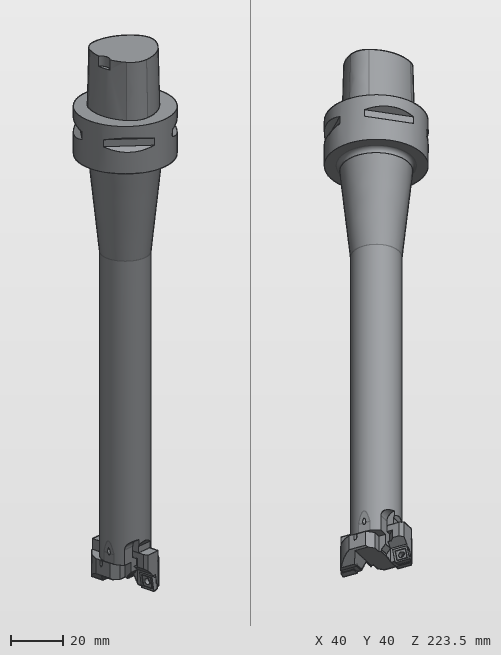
import cadquery as cq
import math

TOOL_LENGTH = 223.5
SIDE_ANGLES = (0, 180)

SHANK_DIAMETER = 20.0
SHANK_RADIUS = SHANK_DIAMETER / 2
FLANGE_DIAMETER = 40.0
FLANGE_RADIUS = FLANGE_DIAMETER / 2
FLANGE_HEIGHT = 20.0
COUPLING_HEIGHT = 24.1
CONE_BOTTOM_Z = 138.5
CONE_TOP_RADIUS = 14.0
NECK_FLARE = 1.3
NECK_HEIGHT = 2.5
NECK_HOLLOW = 0.5
FLANGE_TOP_Z = TOOL_LENGTH - COUPLING_HEIGHT
FLANGE_BOTTOM_Z = FLANGE_TOP_Z - FLANGE_HEIGHT
CONE_TOP_Z = FLANGE_BOTTOM_Z - NECK_HEIGHT

COUPLING_WIDTH = 28.0
LOBE_RADIUS = 8.7
LOBE_CENTRE_DISTANCE = 6.0
COUPLING_SLOPE = 1 / 40
LOBE_ANGLES = (90, -30, -150)
LOBE_SPACING = 120
LOBE_ARC_HALF_ANGLE = 30

KEY_SLOT_RADIUS = 3.5
KEY_SLOT_CENTRE_Y = -14.5
KEY_SLOT_HEIGHT = 4.2

GROOVE_ANGLES = (45, 135, 225, 315)
GROOVE_Z = FLANGE_BOTTOM_Z + 12.0
GROOVE_FLOOR_DISTANCE = 17.5
GROOVE_FLOOR_HEIGHT = 3.0
GROOVE_MOUTH_HEIGHT = 6.0

HEAD_TOP_Z = 11.2
HEAD_BOTTOM_Z = 0.7
HEAD_HALF_DEPTH = 9.8
JAW_REACH = 13.5
JAW_ARC_MIDDLE = (10.3, 7.5)
JAW_ARC_END_X = 6.5
FACET_START_X = 0.7
FACET_SIZE = 2.7
BEVEL_TOP_Z = 5.0
BEVEL_BOTTOM_Y = 5.5
GAP_TOP_Z = 4.2
GAP_TOP_HALF_WIDTH = 4.2
GAP_BOTTOM_HALF_WIDTH = 7.0

CARTRIDGE_INNER_X = 6.3
CARTRIDGE_FRONT_Y = -3.0
CARTRIDGE_BACK_Y = 3.8
CARTRIDGE_TOP_Z = 15.6
SLOPE_TOP_Z = 9.6
SLOPE_BOTTOM_Z = 7.0
EDGE_CHAMFER_X = 1.8
EDGE_CHAMFER_Y = 0.7
RELIEF_WIDTH = 2.5
RELIEF_DEPTH = 2.2
RELIEF_BOTTOM_Z = 9.0
RELIEF_TOP_Z = 13.0

FLAT_X = 9.2
FLAT_TOP_Z = 18.3
FLAT_RUNOUT_HEIGHT = 1.8

GULLET_RUNOUT_RADIUS = 3.5
GULLET_RUNOUT_Z = 17.7
RECESS_Y = -4.0
THROAT_X = 4.5
THROAT_Z = 5.0

INSERT_EDGE = 6.3
INSERT_CORNER_ANGLE = 80
INSERT_CORNER_X = 14.5
INSERT_THICKNESS = 2.5
INSERT_HOLE_DIAMETER = 2.5
INSERT_CLEARANCE_ANGLE = 7
CHIP_GROOVE_LAND = 1.0
CHIP_GROOVE_DEPTH = 0.34

COOLANT_FLAT_Y = -9.6
COOLANT_FLAT_TOP_Z = 15.2
COOLANT_RUNOUT_HEIGHT = 5.1
COOLANT_HOLE_DIAMETER = 1.3
COOLANT_HOLE_DEPTH = 4.5
COOLANT_HOLE_OVERRUN = 2.2
COOLANT_TILT = 62
COOLANT_HOLE_Z = 15.9
LOWER_OUTLET_X = -3.8
LOWER_OUTLET_Z = 10.0

RIGHT_ANGLE = 90
CLEAR = 22.4


def prism_along_y(points, y_from, y_to):
    """Extrude an outline of (x, z) points between two y positions."""
    return cq.Workplane("XZ", origin=(0, y_from, 0)).polyline(points).close().extrude(y_from - y_to)


def turned(shape, angle):
    return shape.rotate((0, 0, 0), (0, 0, 1), angle)


def polar(distance, angle):
    return distance * math.cos(math.radians(angle)), distance * math.sin(math.radians(angle))



def turned_shank():
    cone_joint = (CONE_TOP_RADIUS, CONE_TOP_Z)
    flare_end = (CONE_TOP_RADIUS + NECK_FLARE, FLANGE_BOTTOM_Z)
    flare_middle = (
        CONE_TOP_RADIUS + NECK_FLARE / 2 - NECK_HOLLOW,
        CONE_TOP_Z + NECK_HEIGHT / 2 + NECK_HOLLOW,
    )
    return (
        cq.Workplane("XZ")
        .moveTo(0, HEAD_TOP_Z)
        .lineTo(SHANK_RADIUS, HEAD_TOP_Z)
        .lineTo(SHANK_RADIUS, CONE_BOTTOM_Z)
        .lineTo(*cone_joint)
        .threePointArc(flare_middle, flare_end)
        .lineTo(FLANGE_RADIUS, FLANGE_BOTTOM_Z)
        .lineTo(FLANGE_RADIUS, FLANGE_TOP_Z)
        .lineTo(0, FLANGE_TOP_Z)
        .close()
        .revolve(360, (0, 0, 0), (0, 1, 0))
    )


def gripper_groove(angle):
    """Straight groove across the flange with flared sides."""
    floor_half = GROOVE_FLOOR_HEIGHT / 2
    mouth_half = GROOVE_MOUTH_HEIGHT / 2
    outline = [
        (GROOVE_FLOOR_DISTANCE, GROOVE_Z - floor_half),
        (FLANGE_RADIUS, GROOVE_Z - mouth_half),
        (FLANGE_RADIUS, GROOVE_Z + mouth_half),
        (GROOVE_FLOOR_DISTANCE, GROOVE_Z + floor_half),
    ]
    return turned(prism_along_y(outline, -CLEAR, CLEAR), angle)



def coupling_outline(workplane, inset):
    """Close a three-lobed outline of six tangent arcs, moved inward by the inset."""
    lobe_radius = LOBE_RADIUS - inset
    side_radius = COUPLING_WIDTH - LOBE_RADIUS - inset

    def on_lobe(lobe_angle, direction):
        centre_x, centre_y = polar(LOBE_CENTRE_DISTANCE, lobe_angle)
        step_x, step_y = polar(lobe_radius, direction)
        return centre_x + step_x, centre_y + step_y

    outline = workplane.moveTo(*on_lobe(LOBE_ANGLES[0], LOBE_ANGLES[0] + LOBE_ARC_HALF_ANGLE))
    for lobe_angle in LOBE_ANGLES:
        side_angle = lobe_angle - LOBE_SPACING / 2
        next_lobe = lobe_angle - LOBE_SPACING
        lobe_peak = on_lobe(lobe_angle, lobe_angle)
        outline = outline.threePointArc(lobe_peak, on_lobe(lobe_angle, lobe_angle - LOBE_ARC_HALF_ANGLE))
        side_middle = polar(side_radius - LOBE_CENTRE_DISTANCE, side_angle)
        outline = outline.threePointArc(side_middle, on_lobe(next_lobe, next_lobe + LOBE_ARC_HALF_ANGLE))
    return outline.close()


def coupling():
    base = coupling_outline(cq.Workplane("XY", origin=(0, 0, FLANGE_TOP_Z)), 0)
    end = coupling_outline(base.workplane(offset=COUPLING_HEIGHT), COUPLING_HEIGHT * COUPLING_SLOPE)
    key_slot = (
        cq.Workplane("XY", origin=(0, KEY_SLOT_CENTRE_Y, TOOL_LENGTH - KEY_SLOT_HEIGHT))
        .circle(KEY_SLOT_RADIUS)
        .extrude(KEY_SLOT_HEIGHT)
    )
    return end.loft(ruled=True).cut(key_slot)



def head_blank():
    """Head below the shank; each half turn of the outline has one jaw and one stepped gullet."""
    facet_end_x = FACET_START_X + FACET_SIZE
    middle_x, middle_y = JAW_ARC_MIDDLE
    outline = cq.Workplane("XY", origin=(0, 0, HEAD_BOTTOM_Z)).moveTo(JAW_REACH, RECESS_Y)
    for side in (1, -1):
        outline = (
            outline.lineTo(side * JAW_REACH, -side * RECESS_Y)
            .threePointArc((side * middle_x, side * middle_y), (side * JAW_ARC_END_X, side * HEAD_HALF_DEPTH))
            .lineTo(-side * FACET_START_X, side * HEAD_HALF_DEPTH)
            .lineTo(-side * facet_end_x, side * (HEAD_HALF_DEPTH - FACET_SIZE))
            .lineTo(-side * facet_end_x, -side * RECESS_Y)
            .lineTo(-side * JAW_REACH, -side * RECESS_Y)
        )
    return outline.close().extrude(HEAD_TOP_Z - HEAD_BOTTOM_Z)


def tip_gap():
    """Tapered gap between the two jaws, right through along Y."""
    outline = [
        (-GAP_BOTTOM_HALF_WIDTH, 0),
        (GAP_BOTTOM_HALF_WIDTH, 0),
        (GAP_TOP_HALF_WIDTH, GAP_TOP_Z),
        (-GAP_TOP_HALF_WIDTH, GAP_TOP_Z),
    ]
    return prism_along_y(outline, -CLEAR, CLEAR)


def bevel_cut():
    """Wedge taken off the lower -Y edge of the head."""
    outline = [
        (-HEAD_HALF_DEPTH, BEVEL_TOP_Z),
        (-BEVEL_BOTTOM_Y, HEAD_BOTTOM_Z),
        (-CLEAR, HEAD_BOTTOM_Z),
        (-CLEAR, BEVEL_TOP_Z),
    ]
    return cq.Workplane("YZ", origin=(-CLEAR, 0, 0)).polyline(outline).close().extrude(2 * CLEAR)


def gullet_cut():
    """Chip gullet along the shank, ending in a quarter-round runout."""
    wall_x = CARTRIDGE_INNER_X
    arc_centre_x = wall_x + GULLET_RUNOUT_RADIUS
    arc_middle = polar(GULLET_RUNOUT_RADIUS, 135)
    return (
        cq.Workplane("XZ", origin=(0, CARTRIDGE_FRONT_Y, 0))
        .moveTo(wall_x, 0)
        .lineTo(wall_x, GULLET_RUNOUT_Z)
        .threePointArc(
            (arc_centre_x + arc_middle[0], GULLET_RUNOUT_Z + arc_middle[1]),
            (arc_centre_x, GULLET_RUNOUT_Z + GULLET_RUNOUT_RADIUS),
        )
        .lineTo(CLEAR, GULLET_RUNOUT_Z + GULLET_RUNOUT_RADIUS)
        .lineTo(CLEAR, 0)
        .close()
        .extrude(CLEAR)
    )


def throat_cut():
    """Clears the chip space in front of the insert."""
    outline = [
        (THROAT_X, 0),
        (THROAT_X, THROAT_Z),
        (CARTRIDGE_INNER_X, SLOPE_BOTTOM_Z),
        (CLEAR, SLOPE_BOTTOM_Z),
        (CLEAR, 0),
    ]
    return prism_along_y(outline, -CLEAR, 0)


def cartridge_seat():
    """Pocket for the cartridge, with the sloping-ended flat above it."""
    pocket_outline = [
        (CARTRIDGE_INNER_X, 0),
        (CARTRIDGE_INNER_X, CARTRIDGE_TOP_Z),
        (CLEAR, CARTRIDGE_TOP_Z),
        (CLEAR, 0),
    ]
    flat_outline = [
        (FLAT_X, CARTRIDGE_TOP_Z),
        (FLAT_X, FLAT_TOP_Z),
        (SHANK_RADIUS, FLAT_TOP_Z + FLAT_RUNOUT_HEIGHT),
        (CLEAR, FLAT_TOP_Z + FLAT_RUNOUT_HEIGHT),
        (CLEAR, CARTRIDGE_TOP_Z),
    ]
    pocket = prism_along_y(pocket_outline, CARTRIDGE_FRONT_Y, CARTRIDGE_BACK_Y)
    return pocket.union(prism_along_y(flat_outline, CARTRIDGE_FRONT_Y, CARTRIDGE_BACK_Y))


def coolant_hole(x, y, z, tilt):
    """Short hole from the -Y surface into the tool, rising inward for a positive tilt."""
    return (
        cq.Workplane("XY")
        .circle(COOLANT_HOLE_DIAMETER / 2)
        .extrude(COOLANT_HOLE_DEPTH + COOLANT_HOLE_OVERRUN)
        .translate((0, 0, -COOLANT_HOLE_OVERRUN))
        .rotate((0, 0, 0), (1, 0, 0), tilt - RIGHT_ANGLE)
        .translate((x, y, z))
    )


def coolant_flat():
    """Shallow flat on the shank that runs out upward."""
    outline = [
        (COOLANT_FLAT_Y, HEAD_TOP_Z),
        (COOLANT_FLAT_Y, COOLANT_FLAT_TOP_Z),
        (-SHANK_RADIUS, COOLANT_FLAT_TOP_Z + COOLANT_RUNOUT_HEIGHT),
        (-CLEAR, COOLANT_FLAT_TOP_Z + COOLANT_RUNOUT_HEIGHT),
        (-CLEAR, HEAD_TOP_Z),
    ]
    return cq.Workplane("YZ", origin=(-CLEAR, 0, 0)).polyline(outline).close().extrude(2 * CLEAR)


def make_holder():
    holder = turned_shank().union(coupling()).union(head_blank())
    for angle in GROOVE_ANGLES:
        holder = holder.cut(gripper_groove(angle))
    holder = holder.cut(tip_gap())
    side_cuts = [
        bevel_cut(),
        gullet_cut(),
        throat_cut(),
        cartridge_seat(),
        coolant_flat(),
        coolant_hole(0, COOLANT_FLAT_Y, COOLANT_HOLE_Z, COOLANT_TILT),
        coolant_hole(LOWER_OUTLET_X, -HEAD_HALF_DEPTH, LOWER_OUTLET_Z, -COOLANT_TILT),
    ]
    for angle in SIDE_ANGLES:
        for cutter in side_cuts:
            holder = holder.cut(turned(cutter, angle))
    return holder



INSERT_LEAN, INSERT_HEIGHT = polar(INSERT_EDGE, 180 - INSERT_CORNER_ANGLE)
INSERT_CENTRE_X = INSERT_CORNER_X + (INSERT_LEAN - INSERT_EDGE) / 2
INSERT_CENTRE_Z = INSERT_HEIGHT / 2


def insert_outline(workplane, inset):
    """Rhombus with each edge moved inward by the inset."""
    scale = 1 - inset / INSERT_CENTRE_Z
    half_lean = scale * INSERT_LEAN / 2
    half_edge = scale * INSERT_EDGE / 2
    half_height = scale * INSERT_HEIGHT / 2
    corners = [
        (half_edge - half_lean, -half_height),
        (half_edge + half_lean, half_height),
        (half_lean - half_edge, half_height),
        (-half_lean - half_edge, -half_height),
    ]
    return workplane.polyline(corners).close()


def insert_blank():
    """Rhombic plate whose flanks slope back from the front face at y = 0."""
    back_inset = INSERT_THICKNESS * math.tan(math.radians(INSERT_CLEARANCE_ANGLE))
    front = cq.Workplane("XZ", origin=(INSERT_CENTRE_X, 0, INSERT_CENTRE_Z))
    back = insert_outline(front, 0).workplane(offset=-INSERT_THICKNESS)
    return insert_outline(back, back_inset).loft(ruled=True)


def make_insert(angle):
    face = cq.Workplane("XZ", origin=(INSERT_CENTRE_X, 0, INSERT_CENTRE_Z))
    hole = face.circle(INSERT_HOLE_DIAMETER / 2).extrude(-INSERT_THICKNESS)
    chip_groove = insert_outline(face, CHIP_GROOVE_LAND).extrude(-CHIP_GROOVE_DEPTH)
    return turned(insert_blank().cut(hole).cut(chip_groove), angle)



def make_cartridge(angle):
    side_profile = [
        (CARTRIDGE_BACK_Y, HEAD_BOTTOM_Z),
        (CARTRIDGE_BACK_Y, CARTRIDGE_TOP_Z),
        (CARTRIDGE_FRONT_Y, CARTRIDGE_TOP_Z),
        (CARTRIDGE_FRONT_Y, SLOPE_TOP_Z),
        (0, SLOPE_BOTTOM_Z),
        (0, HEAD_BOTTOM_Z),
    ]
    block = (
        cq.Workplane("YZ", origin=(CARTRIDGE_INNER_X, 0, 0))
        .polyline(side_profile)
        .close()
        .extrude(JAW_REACH - CARTRIDGE_INNER_X)
    )
    edge_chamfer = (
        cq.Workplane("XY")
        .moveTo(JAW_REACH, CARTRIDGE_FRONT_Y)
        .lineTo(JAW_REACH - EDGE_CHAMFER_X, CARTRIDGE_FRONT_Y)
        .lineTo(JAW_REACH, CARTRIDGE_FRONT_Y + EDGE_CHAMFER_Y)
        .close()
        .extrude(CARTRIDGE_TOP_Z)
    )
    relief = (
        cq.Workplane("XY", origin=(0, 0, RELIEF_BOTTOM_Z))
        .moveTo(CARTRIDGE_INNER_X, CARTRIDGE_FRONT_Y)
        .lineTo(CARTRIDGE_INNER_X + RELIEF_WIDTH, CARTRIDGE_FRONT_Y)
        .lineTo(CARTRIDGE_INNER_X, CARTRIDGE_FRONT_Y + RELIEF_DEPTH)
        .close()
        .extrude(RELIEF_TOP_Z - RELIEF_BOTTOM_Z)
    )
    return turned(block.cut(edge_chamfer).cut(relief).cut(insert_blank()).cut(tip_gap()), angle)


holder = make_holder()
cartridges = [make_cartridge(angle) for angle in SIDE_ANGLES]
inserts = [make_insert(angle) for angle in SIDE_ANGLES]

result = cq.Compound.makeCompound(
    [holder.val()] + [cartridge.val() for cartridge in cartridges] + [insert.val() for insert in inserts]
)